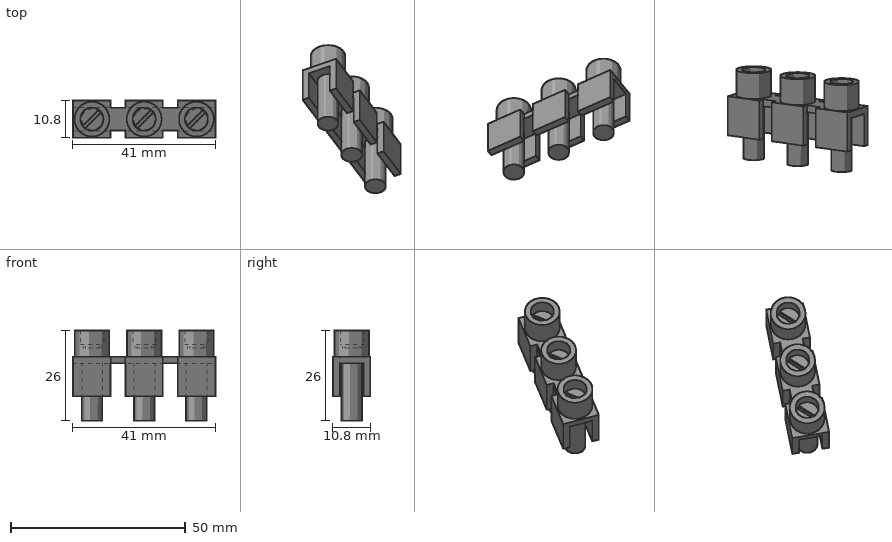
import cadquery as cq

length = 41.0
pitch = 15.0
clamp_count = 3
block_width = 10.8
bridge_width = 6.6
gap_width = pitch - block_width

block_height = 11.5
wall = 2.0
channel_width = block_width - 2 * wall

collar_diameter = 10.0
collar_height = 7.5
bore_diameter = 6.65
pin_diameter = 6.0
pin_length = 7.0

head_depth = 4.0
slot_width = 1.0
slot_depth = 1.0
slot_angle = 45

centres = [((i - (clamp_count - 1) / 2) * pitch, 0) for i in range(clamp_count)]


def make_body():
    """Bar with a full-length channel, cut away between blocks to leave the bridge."""
    body = (
        cq.Workplane("XY")
        .box(length, block_width, block_height, centered=(True, True, False))
        .translate((0, 0, -block_height))
    )
    channel = (
        cq.Workplane("XY")
        .workplane(offset=-block_height)
        .rect(length, channel_width)
        .extrude(block_height - wall)
    )
    notch_depth = (block_width - bridge_width) / 2
    side_gaps = cq.Workplane("XY")
    for x, _ in centres[:-1]:
        for side in (-1, 1):
            y = side * (bridge_width + notch_depth) / 2
            side_gaps = side_gaps.union(
                cq.Workplane("XY")
                .center(x + pitch / 2, y)
                .rect(gap_width, notch_depth)
                .extrude(-block_height)
            )
    return body.cut(channel).cut(side_gaps)


def make_pins():
    return cq.Workplane("XY").pushPoints(centres).circle(pin_diameter / 2).extrude(-block_height - pin_length)


def make_collars():
    return cq.Workplane("XY").pushPoints(centres).circle(collar_diameter / 2).extrude(collar_height)


def make_bores():
    """Blind bores that leave the screw heads at their bottom."""
    return (
        cq.Workplane("XY")
        .workplane(offset=collar_height - head_depth)
        .pushPoints(centres)
        .circle(bore_diameter / 2)
        .extrude(head_depth)
    )


def make_slots():
    """Diagonal screwdriver slots, ending at the bore wall."""
    head_top = collar_height - head_depth
    bore_discs = (
        cq.Workplane("XY")
        .workplane(offset=head_top)
        .pushPoints(centres)
        .circle(bore_diameter / 2)
        .extrude(-slot_depth)
    )
    bars = cq.Workplane("XY")
    for x, y in centres:
        bar = (
            cq.Workplane("XY")
            .workplane(offset=head_top)
            .rect(collar_diameter, slot_width)
            .extrude(-slot_depth)
            .rotate((0, 0, 0), (0, 0, 1), slot_angle)
            .translate((x, y, 0))
        )
        bars = bars.union(bar)
    return bore_discs.intersect(bars)


solid_clamps = make_body().union(make_pins()).union(make_collars())
result = solid_clamps.cut(make_bores()).cut(make_slots())